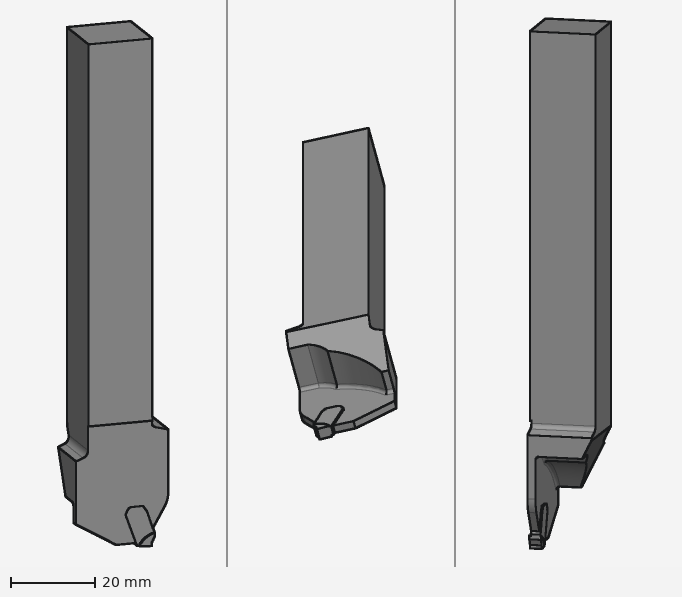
import cadquery as cq
import math

LENGTH = 125.0
SHANK_SIDE = 16.0
REAR_OVERHANG = 4.1
FRONT_OVERHANG = 3.0
REAR_Y = SHANK_SIDE + REAR_OVERHANG
FRONT_Y = -FRONT_OVERHANG

REAR_SHOULDER_Z = 28.2
REAR_SHOULDER_ANGLE = 15
REAR_BLEND = 1.2
FRONT_SHOULDER_Z = 22.5
FRONT_SHOULDER_ANGLE = 20
FRONT_BLEND = 1.9

HOLDER_BOTTOM_Z = 1.0
REAR_CORNER_Z = 11.0
REAR_CORNER_RADIUS = 7.0
REAR_EDGE_ANGLE = 60
FRONT_CORNER_Z = 6.9
BOTTOM_FRONT_Y = 7.0

RELIEF_DEPTH = 0.4
RELIEF_TOP_Z = 30.9
HEAD_RIGHT_X = SHANK_SIDE - RELIEF_DEPTH

FLANK_TOP_Z = 27.4
FLANK_ANGLE = 26.6
FLANK_TILT = 0.7

BLADE_LEFT_X = 13.6
BLADE_BLEND = 0.9
WALL_REAR_Z = 23.1
WALL_REAR_ARC_START_Y = 15.4
WALL_REAR_ARC_MIDDLE = (13.1, 22.2)
WALL_CUSP = (10.9, 20.4)
WALL_FRONT_ARC_MIDDLE = (5.5, 17.9)
WALL_FRONT_ARC_END_Y = -1.2
WALL_FRONT_Z = 11.8

INSERT_LEFT_X = 13.1
INSERT_CORNER_RADIUS = 1.2
INSERT_TOP_FRONT = (10.2, 10.0)
INSERT_REAR_EDGE = [(13.8, 10.0), (14.8, 8.6), (16.0, 4.9), (16.6, 3.6)]
INSERT_TIP = [(16.6, 2.4), (15.9, 0.9), (15.9, 0), (12.4, 0.2)]
INSERT_FRONT_EDGE = [(12.0, 1.0), (9.4, 8.2)]
CHIP_STEP = 0.1
CHIP_ARC_START = (16.6, 3.2)
CHIP_ARC_MIDDLE = (14.8, 2.5)
CHIP_ARC_END = (12.9, 0.6)

CLEARANCE = 6.2


def side_profile(x):
    """Sketch plane at the given X, with local axes along Y and Z."""
    return cq.Workplane("YZ", origin=(x, 0, 0))


def corner_fillet(body, y, z, radius):
    """Round the X-direction edge that passes through (y, z)."""
    reach = 0.01
    selector = cq.selectors.BoxSelector(
        (-LENGTH, y - reach, z - reach),
        (LENGTH, y + reach, z + reach),
    )
    return body.edges(selector).fillet(radius)


def holder_blank():
    rear_root_z = REAR_SHOULDER_Z + REAR_OVERHANG * math.tan(math.radians(REAR_SHOULDER_ANGLE))
    front_root_z = FRONT_SHOULDER_Z + FRONT_OVERHANG * math.tan(math.radians(FRONT_SHOULDER_ANGLE))
    rear_edge_run = (REAR_CORNER_Z - HOLDER_BOTTOM_Z) / math.tan(math.radians(REAR_EDGE_ANGLE))
    outline = [
        (0, LENGTH),
        (SHANK_SIDE, LENGTH),
        (SHANK_SIDE, rear_root_z),
        (REAR_Y, REAR_SHOULDER_Z),
        (REAR_Y, REAR_CORNER_Z),
        (REAR_Y - rear_edge_run, HOLDER_BOTTOM_Z),
        (BOTTOM_FRONT_Y, HOLDER_BOTTOM_Z),
        (FRONT_Y, FRONT_CORNER_Z),
        (FRONT_Y, FRONT_SHOULDER_Z),
        (0, front_root_z),
    ]
    blank = side_profile(0).polyline(outline).close().extrude(SHANK_SIDE)
    blank = corner_fillet(blank, SHANK_SIDE, rear_root_z, REAR_BLEND)
    blank = corner_fillet(blank, 0, front_root_z, FRONT_BLEND)
    return corner_fillet(blank, REAR_Y, REAR_CORNER_Z, REAR_CORNER_RADIUS)


def relief_cutter():
    return cq.Workplane("XY").box(
        SHANK_SIDE, LENGTH, RELIEF_TOP_Z + CLEARANCE, centered=(False, True, False)
    ).translate((HEAD_RIGHT_X, 0, -CLEARANCE))


def flank_cutter():
    """Wedge outside the slanted flank, tilted a little about X."""
    run_per_height = math.tan(math.radians(FLANK_ANGLE))
    apex_z = FLANK_TOP_Z + CLEARANCE / run_per_height
    base_x = (FLANK_TOP_Z + CLEARANCE) * run_per_height
    wedge = (
        cq.Workplane("XZ")
        .polyline([(-CLEARANCE, apex_z), (base_x, -CLEARANCE), (-CLEARANCE, -CLEARANCE)])
        .close()
        .extrude(LENGTH / 2, both=True)
    )
    return wedge.rotate((0, 0, FLANK_TOP_Z), (1, 0, FLANK_TOP_Z), FLANK_TILT)


def blade_cutter():
    """Space beside the blade; its far edge is rounded to leave a fillet at the wall."""
    cutter = (
        side_profile(-CLEARANCE)
        .moveTo(REAR_Y + CLEARANCE, WALL_REAR_Z)
        .lineTo(WALL_REAR_ARC_START_Y, WALL_REAR_Z)
        .threePointArc(WALL_REAR_ARC_MIDDLE, WALL_CUSP)
        .threePointArc(WALL_FRONT_ARC_MIDDLE, (WALL_FRONT_ARC_END_Y, WALL_FRONT_Z))
        .lineTo(FRONT_Y - CLEARANCE, WALL_FRONT_Z)
        .lineTo(FRONT_Y - CLEARANCE, -CLEARANCE)
        .lineTo(REAR_Y + CLEARANCE, -CLEARANCE)
        .close()
        .extrude(BLADE_LEFT_X + CLEARANCE)
    )
    margin = BLADE_BLEND
    wall_edges = cq.selectors.BoxSelector(
        (BLADE_LEFT_X - margin, FRONT_Y - CLEARANCE, WALL_FRONT_Z - margin),
        (BLADE_LEFT_X + margin, REAR_Y + CLEARANCE, WALL_REAR_Z + margin),
    )
    return cutter.faces(">X").edges(wall_edges).fillet(BLADE_BLEND)


def make_insert():
    outline = [
        INSERT_TOP_FRONT,
        *INSERT_REAR_EDGE,
        *INSERT_TIP,
        *INSERT_FRONT_EDGE,
    ]
    body = side_profile(INSERT_LEFT_X).polyline(outline).close().extrude(SHANK_SIDE - INSERT_LEFT_X)
    body = corner_fillet(body, *INSERT_TOP_FRONT, INSERT_CORNER_RADIUS)

    head = (
        side_profile(0)
        .moveTo(*CHIP_ARC_START)
        .threePointArc(CHIP_ARC_MIDDLE, CHIP_ARC_END)
        .lineTo(CHIP_ARC_END[0], -CLEARANCE)
        .lineTo(CHIP_ARC_START[0], -CLEARANCE)
        .close()
        .extrude(LENGTH)
    )
    stem_width = HEAD_RIGHT_X - INSERT_LEFT_X - CHIP_STEP
    stem_slab = cq.Workplane("XY").box(
        stem_width, LENGTH, LENGTH, centered=(False, True, True)
    ).translate((INSERT_LEFT_X + CHIP_STEP, 0, 0))
    stem = body.intersect(stem_slab)
    return stem.union(body.intersect(head))


insert = make_insert()
holder = (
    holder_blank()
    .cut(relief_cutter())
    .cut(flank_cutter())
    .cut(blade_cutter())
    .cut(insert)
)

result = cq.Compound.makeCompound([holder.solids().val(), insert.solids().val()])